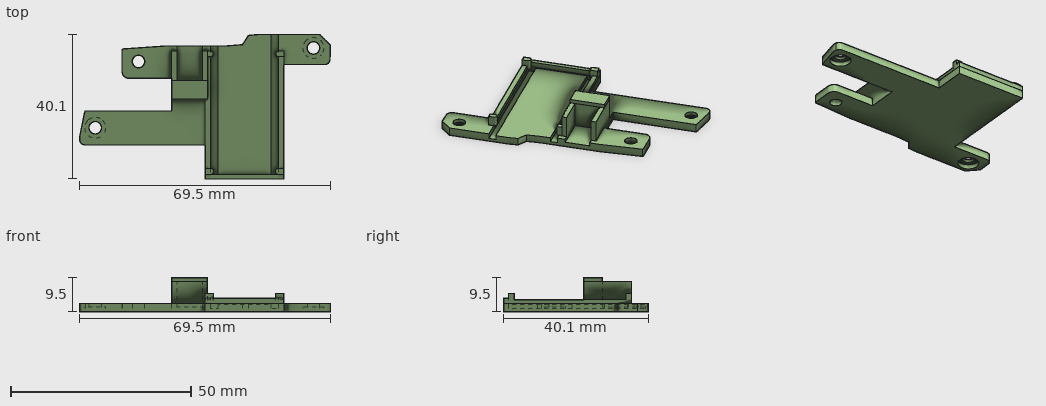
import cadquery as cq

plate_top = 2.35
tray_floor = 2.1
groove_floor = 0.9
channel_floor = 1.4
rail_top = 3.4
end_wall_top = 3.8
peg_top = 5.1
block_top = 8.45
cap_top = 9.5

tray_width = 21.8
rail_width = 1.5
end_wall_width = 1.3
rail_back = 35.45
groove_width = 2.0
front_peg_width = 1.7
back_peg_width = 1.5
tray_inner_right = tray_width - rail_width

back_edge = 36.95
back_edge_left = -10.6
back_edge_right = 6.0
web_left = -9.25

arm_front = 9.45
arm_back = 18.9
arm_tip = -34.8
arm_back_corner = (-33.2, arm_back)
arm_bend_middle = (-33.4, 18.5)
arm_slant_start = (-33.55, 17.9)
arm_slant_end = (-34.7, 12.25)
arm_tip_middle = (arm_tip, 11.4)
arm_tip_end = (-34.75, 10.55)
arm_corner_middle = (-34.25, 9.85)
arm_corner_end = (-33.1, arm_front)

lug_left = -23.05
lug_front = 27.9
lug_radius = 2.0
lug_back_corner = (-22.9, 36.1)
lug_bend_middle = (-23.0, 35.8)
lug_side_back = 35.3

tab_back = 40.13
tab_front = 31.7
tab_right = 34.65
tab_radius = 1.6
tab_chamfer_side = (34.74, 37.15)
tab_chamfer_back = 31.7
tab_back_left = 15.0
tab_shoulder = (12.0, 39.85)
tab_foot = (10.35, 37.3)

hole_diameter = 3.4
recess_diameter = 5.8
recess_depth = 1.35
recessed_holes = [(-30.45, 14.25), (30.0, 36.35)]
plain_holes = [(-18.45, 32.6)]

block_right = 0.65
block_front = 22.2
block_wall = 1.4
cap_back = 27.35


def box(x_min, x_max, y_min, y_max, z_min, z_max):
    """Box given by its limits along each axis."""
    return (
        cq.Workplane("XY")
        .box(x_max - x_min, y_max - y_min, z_max - z_min, centered=False)
        .translate((x_min, y_min, z_min))
    )


def discs(centers, diameter, height):
    """Upright cylinders that stand on the underside."""
    return cq.Workplane("XY").pushPoints(centers).circle(diameter / 2).extrude(height)


def make_plate():
    """Flat plate with the tray, the long arm, the short lug and the back tab."""
    outline = (
        cq.Workplane("XY")
        .lineTo(tray_width, 0)
        .lineTo(tray_width, tab_front)
        .lineTo(tab_right - tab_radius, tab_front)
        .radiusArc((tab_right, tab_front + tab_radius), -tab_radius)
        .lineTo(*tab_chamfer_side)
        .lineTo(tab_chamfer_back, tab_back)
        .lineTo(tab_back_left, tab_back)
        .lineTo(*tab_shoulder)
        .lineTo(*tab_foot)
        .lineTo(back_edge_right, back_edge)
        .lineTo(back_edge_left, back_edge)
        .lineTo(*lug_back_corner)
        .threePointArc(lug_bend_middle, (lug_left, lug_side_back))
        .lineTo(lug_left, lug_front + lug_radius)
        .radiusArc((lug_left + lug_radius, lug_front), -lug_radius)
        .lineTo(web_left, lug_front)
        .lineTo(web_left, arm_back)
        .lineTo(*arm_back_corner)
        .threePointArc(arm_bend_middle, arm_slant_start)
        .lineTo(*arm_slant_end)
        .threePointArc(arm_tip_middle, arm_tip_end)
        .threePointArc(arm_corner_middle, arm_corner_end)
        .lineTo(0, arm_front)
        .close()
    )
    plate = outline.extrude(plate_top)
    plate = plate.cut(discs(recessed_holes + plain_holes, hole_diameter, plate_top))
    return plate.cut(discs(recessed_holes, recess_diameter, recess_depth))


def make_base():
    """Plate with the clip block, the block's channel and the tray's floor and grooves."""
    base = make_plate()
    base = base.union(box(web_left, block_right, block_front, rail_back, 0, block_top))

    channel_left = web_left + block_wall
    channel_right = block_right - block_wall
    base = base.cut(box(channel_left, channel_right, cap_back, back_edge, channel_floor, block_top))

    base = base.cut(box(rail_width, tray_inner_right, end_wall_width, tab_back, tray_floor, plate_top))
    for groove_left in (rail_width, tray_inner_right - groove_width):
        groove_right = groove_left + groove_width
        base = base.cut(box(groove_left, groove_right, end_wall_width, tab_back, groove_floor, plate_top))
    return base


def make_peg(front, width):
    """Round-nosed peg on the left rail, pointing into the tray."""
    radius = width / 2
    return (
        cq.Workplane("XY", origin=(0, front, plate_top))
        .lineTo(rail_width, 0)
        .threePointArc((rail_width + radius, radius), (rail_width, width))
        .lineTo(0, width)
        .close()
        .extrude(peg_top - plate_top)
    )


def make_frame(base):
    """U-shaped rail frame on the tray, cut clear of the clip block."""
    left_rail = box(0, rail_width, 0, rail_back, plate_top, rail_top)
    left_rail = left_rail.union(make_peg(end_wall_width, front_peg_width))
    left_rail = left_rail.union(make_peg(rail_back - back_peg_width, back_peg_width))
    right_rail = left_rail.mirror("YZ").translate((tray_width, 0, 0))

    end_wall = box(0, tray_width, 0, end_wall_width, plate_top, end_wall_top)
    return end_wall.union(left_rail).union(right_rail).cut(base)


def make_cap():
    """Flat cap on the closed front part of the clip block."""
    return box(web_left, block_right, block_front, cap_back, block_top, cap_top)


base = make_base()
frame = make_frame(base)
cap = make_cap()

result = cq.Compound.makeCompound([body.solids().val() for body in (base, frame, cap)])